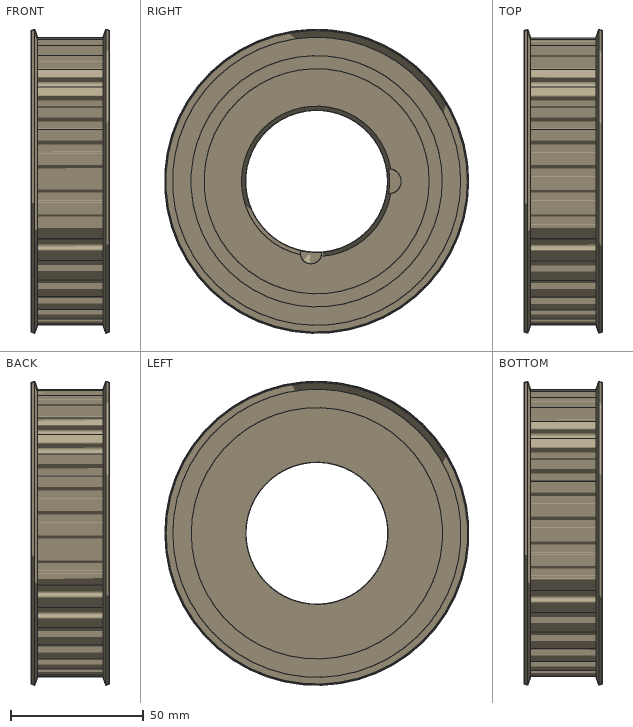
import cadquery as cq
import math

overall_width = 29.6
flange_radius = 57.4

tooth_count = 36
tip_radius = 54.2
groove_depth = 2.3
groove_floor_width = 3.2
groove_flank_angle = 20.0
groove_floor_fillet = 0.7
tooth_tip_fillet = 0.3
first_groove_angle = 3.8
face_width = 24.8

flange_thickness = 1.5
flare_angle = 20.0

hub_radius = 47.4
hub_half_width = 14.5
recess_radius = 42.5
web_back_x = 8.6
bore_front_radius = 26.7
bore_taper_angle = 4.0

screw_circle_radius = 27.2
wide_notch_radius = 4.7
wide_notch_depth = 11.4
wide_notch_angle = 0.0
narrow_notch_radius = 4.0
narrow_notch_depth = 19.7
narrow_notch_angle = -94.5
drill_point_angle = 118.0

root_radius = tip_radius - groove_depth
half_face = face_width / 2
pitch_angle = 360.0 / tooth_count
narrow_notch_point_length = narrow_notch_radius / math.tan(math.radians(drill_point_angle / 2))


def sin_deg(angle):
    return math.sin(math.radians(angle))


def cos_deg(angle):
    return math.cos(math.radians(angle))


def tan_deg(angle):
    return math.tan(math.radians(angle))


def disc(radius, x_start, x_end):
    """Solid cylinder on the X axis."""
    return cq.Workplane("YZ").workplane(offset=x_start).circle(radius).extrude(x_end - x_start)


def groove_cutter():
    """One trapezoidal belt groove on the +Y side, ending at the tooth tips, with a rounded floor."""
    half_floor = groove_floor_width / 2
    half_mouth = half_floor + groove_depth * tan_deg(groove_flank_angle)
    return (
        cq.Workplane("YZ")
        .workplane(offset=-half_face)
        .polyline([
            (root_radius, -half_floor),
            (tip_radius, -half_mouth),
            (tip_radius + groove_depth, -half_mouth),
            (tip_radius + groove_depth, half_mouth),
            (tip_radius, half_mouth),
            (root_radius, half_floor),
        ])
        .close()
        .extrude(face_width)
        .edges("|X and <Y")
        .fillet(groove_floor_fillet)
    )


def toothed_rim():
    """Rim with grooves all round and rounded tooth corners."""
    rim = disc(tip_radius, -half_face, half_face)
    cutter = groove_cutter()
    first_groove_from_y = 180.0 - first_groove_angle
    for index in range(tooth_count):
        angle = first_groove_from_y + index * pitch_angle
        rim = rim.cut(cutter.rotate((0, 0, 0), (1, 0, 0), angle))
    tip_corners = rim.edges("|X").filter(
        lambda edge: math.hypot(edge.Center().y, edge.Center().z) > tip_radius - tooth_tip_fillet
    )
    return tip_corners.fillet(tooth_tip_fillet)


def flange():
    """Flange at the -X end: a flat ring whose outer lip flares away from the teeth."""
    plate_outer_x = half_face + flange_thickness
    lip_outer_x = overall_width / 2
    lip_inner_x = lip_outer_x - flange_thickness * cos_deg(flare_angle)
    lip_outer_radius = flange_radius - flange_thickness * sin_deg(flare_angle)
    outer_bend_radius = lip_outer_radius - (lip_outer_x - plate_outer_x) / tan_deg(flare_angle)
    inner_bend_radius = flange_radius - (lip_inner_x - half_face) / tan_deg(flare_angle)
    return (
        cq.Workplane("XY")
        .polyline([
            (-half_face, 0),
            (-half_face, inner_bend_radius),
            (-lip_inner_x, flange_radius),
            (-lip_outer_x, lip_outer_radius),
            (-plate_outer_x, outer_bend_radius),
            (-plate_outer_x, 0),
        ])
        .close()
        .revolve(360, (0, 0, 0), (1, 0, 0))
    )


def tapered_bore():
    """Conical bore, narrow at the -X face and widening towards the web back."""
    length = web_back_x + hub_half_width
    back_radius = bore_front_radius + length * tan_deg(bore_taper_angle)
    return (
        cq.Workplane("XY")
        .polyline([
            (-hub_half_width, 0),
            (-hub_half_width, bore_front_radius),
            (web_back_x, back_radius),
            (web_back_x, 0),
        ])
        .close()
        .revolve(360, (0, 0, 0), (1, 0, 0))
    )


def screw_notch(radius, depth, angle, point_length=0.0):
    """Blind hole parallel to the axis that breaks into the bore wall, with an optional conical end."""
    notch = disc(radius, web_back_x - depth, web_back_x)
    if point_length > 0:
        cone_base = cq.Vector(web_back_x - depth, 0, 0)
        cone = cq.Solid.makeCone(radius, 0, point_length, cone_base, cq.Vector(-1, 0, 0))
        notch = notch.union(cq.Workplane(cone))
    y = screw_circle_radius * cos_deg(angle)
    z = screw_circle_radius * sin_deg(angle)
    return notch.translate((0, y, z))


front_flange = flange()
back_flange = front_flange.mirror("YZ")
hub = disc(hub_radius, -hub_half_width, hub_half_width)
recess = disc(recess_radius, web_back_x, hub_half_width)
wide_notch = screw_notch(wide_notch_radius, wide_notch_depth, wide_notch_angle)
narrow_notch = screw_notch(
    narrow_notch_radius, narrow_notch_depth, narrow_notch_angle, narrow_notch_point_length
)

result = (
    toothed_rim()
    .union(front_flange)
    .union(back_flange)
    .union(hub)
    .cut(recess)
    .cut(tapered_bore())
    .cut(wide_notch)
    .cut(narrow_notch)
)